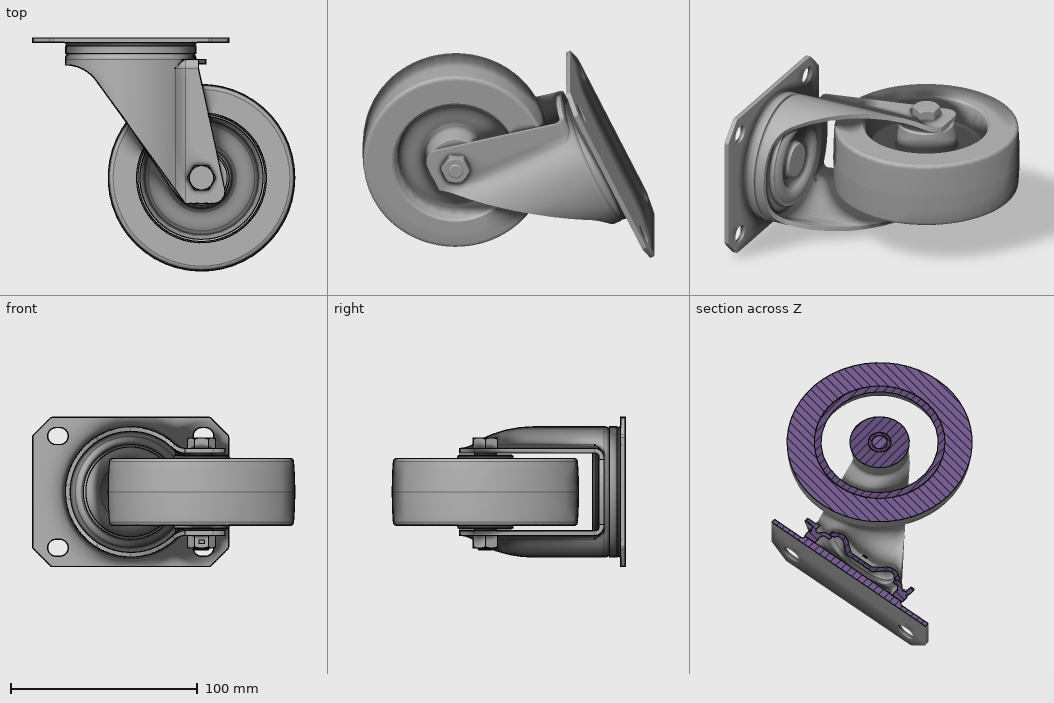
import cadquery as cq
import math


SHEET = 2.5

PLATE_LENGTH = 105.0
PLATE_WIDTH = 80.0
PLATE_CORNER = 10.0
PLATE_CORNER_ROUND = 2.0
SLOT_LENGTH = 11.0
SLOT_WIDTH = 9.0
SLOT_SPACING_X = 77.9
SLOT_SPACING_Z = 59.8
BOSS_RADIUS = 34.5
BOSS_FILLET = 1.3
BOSS_BOTTOM = -4.5

WHEEL_X = 37.9
WHEEL_Y = -75.0
WHEEL_RADIUS = 50.0
TREAD_EDGE_RADIUS = 49.1
WHEEL_HALF_WIDTH = 18.0
TREAD_FILLET = 2.0
TYRE_BORE_RADIUS = 34.8
RIM_RADIUS = 34.1
RIM_CHAMFER = 1.1
BOWL_RADIUS = 30.0
WEB_HALF_WIDTH = 5.0
WEB_FILLET = 2.0
HUB_BASE_RADIUS = 16.7
HUB_TIP_RADIUS = 14.7
HUB_HALF_WIDTH = 19.8
HUB_CHAMFER_WIDTH = 1.0
HUB_CHAMFER_HEIGHT = 0.5

SLEEVE_RADIUS = 5.9
BOLT_RADIUS = 4.0
HEX_WIDTH = 13.0
HEX_CHAMFER_ANGLE = 30
HEAD_HEIGHT = 5.6
NUT_HEIGHT = 6.7
BOLT_TIP = 1.1
BOLT_TIP_CHAMFER = 0.5
NUT_MARK_LENGTH = 3.0
NUT_MARK_WIDTH = 2.0
NUT_MARK_DEPTH = 0.4

FORK_RADIUS = 35.0
LEG_INSIDE = 20.8
LEG_BLEND = 8.0
WALL_TOP = -11.5
COLLAR_INNER_RADIUS = 28.1
COLLAR_BOTTOM = -8.5
FOLD_RADIUS = 1.4
FOLD_ANGLE = math.radians(65)
LIP_RADIUS = 23.6
LEG_TOP_ROUND = 4.9
TONGUE_RADIUS = 40.3
ARCH_TOP = -14.6
ARCH_RADIUS = 20.0
ARCH_CORNER_X = -24.5
LEG_BOTTOM = -88.7
LEG_BOTTOM_LEFT = 29.2
LEG_TOP_RIGHT = 36.4
LEG_SLOPE_TOP = -16.5
LEG_BOTTOM_RIGHT = 52.0
LEG_CORNER_ROUND = 6.3

BEAD_RADIUS = 5.3
BEAD_CENTRE_RADIUS = 20.0
CUP_RADIUS = 25.4
CUP_BOTTOM = -17.7
CUP_FLOOR = -11.5
CUP_FLOOR_RADIUS = 12.1

KINGPIN_RADIUS = 9.0
KINGPIN_HEAD_RADIUS = 10.2
KINGPIN_HEAD_TOP = -13.8
KINGPIN_END = -16.7

LEG_OUTSIDE = LEG_INSIDE + SHEET
WALL_INSIDE = FORK_RADIUS - SHEET
LIP_BOTTOM = WALL_TOP + FOLD_RADIUS - (SHEET + 2 * FOLD_RADIUS) * (1 - math.cos(FOLD_ANGLE))


def rounded_outline(plane, corners):
    """Closed outline through (x, y, radius) corners, each rounded with its own radius."""
    ends = []
    for i, (x, y, radius) in enumerate(corners):
        before = cq.Vector(*corners[i - 1][:2])
        after = cq.Vector(*corners[(i + 1) % len(corners)][:2])
        corner = cq.Vector(x, y)
        if radius == 0:
            ends.append((corner, None, corner))
            continue
        to_before = (before - corner).normalized()
        to_after = (after - corner).normalized()
        half_angle = to_before.getAngle(to_after) / 2
        setback = radius / math.tan(half_angle)
        bisector = (to_before + to_after).normalized()
        middle = corner + bisector * (radius / math.sin(half_angle) - radius)
        ends.append((corner + to_before * setback, middle, corner + to_after * setback))
    outline = plane.moveTo(*ends[0][2].toTuple()[:2])
    for start, middle, end in ends[1:] + ends[:1]:
        outline = outline.lineTo(*start.toTuple()[:2])
        if middle is not None:
            outline = outline.threePointArc(middle.toTuple()[:2], end.toTuple()[:2])
    return outline.close()


def about_swivel(outline):
    """Solid of revolution about the Y axis of an outline drawn as (radius, Y)."""
    return outline.revolve(360, (0, 0, 0), (0, 1, 0))


def swivel_disc(radius, top, bottom):
    return cq.Workplane("XZ", origin=(0, top, 0)).circle(radius).extrude(top - bottom)


def axle_rod(radius, low, high):
    return cq.Workplane("XY", origin=(WHEEL_X, WHEEL_Y, low)).circle(radius).extrude(high - low)


def make_plate():
    plate = (
        cq.Workplane("XZ")
        .rect(PLATE_LENGTH, PLATE_WIDTH)
        .extrude(SHEET)
        .edges("|Y").chamfer(PLATE_CORNER)
        .edges("|Y").fillet(PLATE_CORNER_ROUND)
    )
    slots = (
        cq.Workplane("XZ")
        .rect(SLOT_SPACING_X, SLOT_SPACING_Z, forConstruction=True)
        .vertices()
        .slot2D(SLOT_LENGTH, SLOT_WIDTH)
        .extrude(SHEET)
    )
    arc_drop = BOSS_FILLET * (1 - math.sqrt(0.5))
    boss = about_swivel(
        cq.Workplane("XY")
        .moveTo(0, -SHEET)
        .lineTo(BOSS_RADIUS + BOSS_FILLET, -SHEET)
        .threePointArc((BOSS_RADIUS + arc_drop, -SHEET - arc_drop), (BOSS_RADIUS, -SHEET - BOSS_FILLET))
        .lineTo(BOSS_RADIUS, BOSS_BOTTOM)
        .lineTo(0, BOSS_BOTTOM)
        .close()
    )
    kingpin = about_swivel(
        cq.Workplane("XY").polyline([
            (0, BOSS_BOTTOM),
            (KINGPIN_RADIUS, BOSS_BOTTOM),
            (KINGPIN_RADIUS, KINGPIN_HEAD_TOP),
            (KINGPIN_HEAD_RADIUS, KINGPIN_HEAD_TOP),
            (KINGPIN_RADIUS, KINGPIN_END),
            (0, KINGPIN_END),
        ]).close()
    )
    return plate.cut(slots).union(boss).union(kingpin)


def make_crown():
    """Collar, and the sheet folded inwards from the round wall to the lip."""
    collar = swivel_disc(FORK_RADIUS, BOSS_BOTTOM, COLLAR_BOTTOM)
    collar = collar.cut(swivel_disc(COLLAR_INNER_RADIUS, BOSS_BOTTOM, COLLAR_BOTTOM))
    bend = FOLD_RADIUS + SHEET
    valley_radius = WALL_INSIDE - FOLD_RADIUS
    lip_bend_radius = valley_radius - (bend + FOLD_RADIUS) * math.sin(FOLD_ANGLE)
    lip_bend_y = WALL_TOP + (bend + FOLD_RADIUS) * math.cos(FOLD_ANGLE)

    def on_valley(radius, angle):
        return valley_radius - radius * math.sin(angle), WALL_TOP + radius * math.cos(angle)

    def on_lip_bend(radius, angle):
        return lip_bend_radius + radius * math.sin(angle), lip_bend_y - radius * math.cos(angle)

    sheet = about_swivel(
        cq.Workplane("XY")
        .moveTo(FORK_RADIUS, ARCH_TOP)
        .lineTo(FORK_RADIUS, WALL_TOP)
        .threePointArc(on_valley(bend, 0), on_valley(bend, FOLD_ANGLE))
        .threePointArc(on_lip_bend(FOLD_RADIUS, FOLD_ANGLE / 2), on_lip_bend(FOLD_RADIUS, 0))
        .lineTo(LIP_RADIUS, LIP_BOTTOM + SHEET)
        .lineTo(LIP_RADIUS, LIP_BOTTOM)
        .lineTo(*on_lip_bend(bend, 0))
        .threePointArc(on_lip_bend(bend, FOLD_ANGLE / 2), on_lip_bend(bend, FOLD_ANGLE))
        .threePointArc(on_valley(FOLD_RADIUS, 0), (WALL_INSIDE, WALL_TOP))
        .lineTo(WALL_INSIDE, ARCH_TOP)
        .close()
    )
    return collar.union(sheet)


def leg_block(half_width, wall_radius, blend, top, top_round):
    """Block as wide as the legs, blended into the round wall and rounded along its top edges."""
    reach = wall_radius + blend
    centre = cq.Vector(math.sqrt(reach**2 - (half_width + blend) ** 2), half_width + blend)
    start = centre * (wall_radius / reach)
    end = cq.Vector(centre.x, half_width)
    middle = centre + ((start + end) * 0.5 - centre).normalized() * blend
    block = (
        cq.Workplane("XZ", origin=(0, top, 0))
        .moveTo(start.x, start.y)
        .threePointArc((middle.x, middle.y), (end.x, end.y))
        .lineTo(LEG_BOTTOM_RIGHT, half_width)
        .lineTo(LEG_BOTTOM_RIGHT, -half_width)
        .lineTo(end.x, -half_width)
        .threePointArc((middle.x, -middle.y), (start.x, -start.y))
        .close()
        .extrude(top - LEG_BOTTOM)
    )
    return block.faces(">Y").edges("not |Z").fillet(top_round)


def fork_side_profile():
    """Side shape of wall and legs, as a block across the whole width."""
    corners = [
        (-FORK_RADIUS - 1.4, ARCH_TOP, 0),
        (ARCH_CORNER_X, ARCH_TOP, ARCH_RADIUS),
        (LEG_BOTTOM_LEFT, LEG_BOTTOM, 0),
        (LEG_BOTTOM_RIGHT, LEG_BOTTOM, LEG_CORNER_ROUND),
        (LEG_TOP_RIGHT, LEG_SLOPE_TOP, 0),
        (LEG_TOP_RIGHT, WALL_TOP, 0),
        (-FORK_RADIUS - 1.4, WALL_TOP, 0),
    ]
    return rounded_outline(cq.Workplane("XY"), corners).extrude(FORK_RADIUS, both=True)


def make_sides():
    """Round wall, blends and legs: the fork's upright outer faces, thickened inwards by the sheet."""
    outside = (
        leg_block(LEG_OUTSIDE, FORK_RADIUS, LEG_BLEND, WALL_TOP, LEG_TOP_ROUND)
        .union(swivel_disc(FORK_RADIUS, WALL_TOP, LEG_BOTTOM))
        .intersect(fork_side_profile())
    )
    sides = cq.Workplane("XY")
    for face in outside.faces().vals():
        normal = face.normalAt()
        upright = abs(normal.y) < 0.001
        faces_forward = normal.x > 0.99
        if upright and not faces_forward:
            sides = sides.add(face.thicken(-SHEET))
    return sides.combine()


def make_shoulder():
    """Tongue between the tops of the legs, and the bends that join it to them."""
    tongue_bottom = WALL_TOP - SHEET
    shoulder = leg_block(LEG_OUTSIDE, FORK_RADIUS, LEG_BLEND, WALL_TOP, LEG_TOP_ROUND)
    shoulder = shoulder.cut(
        leg_block(LEG_INSIDE, WALL_INSIDE, LEG_BLEND + SHEET, tongue_bottom, LEG_TOP_ROUND - SHEET)
    )
    shoulder = shoulder.cut(swivel_disc(WALL_INSIDE, WALL_TOP, tongue_bottom))
    tongue = shoulder.intersect(swivel_disc(TONGUE_RADIUS, WALL_TOP, tongue_bottom))
    bends = cq.Workplane("XY").box(LEG_TOP_RIGHT, LEG_TOP_ROUND, 2 * FORK_RADIUS, centered=(False, False, True))
    bends = shoulder.intersect(bends.translate((0, WALL_TOP - LEG_TOP_ROUND, 0)))
    return tongue.union(bends)


def make_fork():
    fork = make_crown().union(make_shoulder()).union(make_sides())
    return fork.cut(axle_rod(BOLT_RADIUS, -LEG_OUTSIDE, LEG_OUTSIDE)).clean()


def make_cup():
    """Sheet cup under the fork's lip: a flat flange, a rounded bead and a funnel around the kingpin."""
    slant = math.sqrt(0.5)
    bead_y = CUP_BOTTOM + BEAD_RADIUS
    inner_radius = BEAD_RADIUS - SHEET
    flange_bottom = LIP_BOTTOM - SHEET
    bead_edge = BEAD_CENTRE_RADIUS + math.sqrt(BEAD_RADIUS**2 - (bead_y - flange_bottom) ** 2)
    bead_inner_edge = BEAD_CENTRE_RADIUS + math.sqrt(inner_radius**2 - (bead_y - LIP_BOTTOM) ** 2)
    floor_shift = SHEET * math.tan(math.pi / 8)
    return about_swivel(
        cq.Workplane("XY")
        .moveTo(KINGPIN_RADIUS, CUP_FLOOR)
        .lineTo(CUP_FLOOR_RADIUS, CUP_FLOOR)
        .lineTo(BEAD_CENTRE_RADIUS - BEAD_RADIUS * slant, bead_y - BEAD_RADIUS * slant)
        .threePointArc((BEAD_CENTRE_RADIUS, CUP_BOTTOM), (bead_edge, flange_bottom))
        .lineTo(CUP_RADIUS, flange_bottom)
        .lineTo(CUP_RADIUS, LIP_BOTTOM)
        .lineTo(bead_inner_edge, LIP_BOTTOM)
        .threePointArc(
            (BEAD_CENTRE_RADIUS, bead_y - inner_radius),
            (BEAD_CENTRE_RADIUS - inner_radius * slant, bead_y - inner_radius * slant),
        )
        .lineTo(CUP_FLOOR_RADIUS + floor_shift, CUP_FLOOR + SHEET)
        .lineTo(KINGPIN_RADIUS, CUP_FLOOR + SHEET)
        .close()
    )


def wheel_plane():
    return cq.Workplane("XZ", origin=(WHEEL_X, WHEEL_Y, 0))


def make_tyre():
    """Tyre with a crowned tread, made as two equal halves joined at the crown."""
    drop = WHEEL_RADIUS - TREAD_EDGE_RADIUS
    half = (
        wheel_plane()
        .moveTo(TYRE_BORE_RADIUS, 0)
        .lineTo(WHEEL_RADIUS, 0)
        .threePointArc((WHEEL_RADIUS - drop / 4, WHEEL_HALF_WIDTH / 2), (TREAD_EDGE_RADIUS, WHEEL_HALF_WIDTH))
        .lineTo(TYRE_BORE_RADIUS, WHEEL_HALF_WIDTH)
        .close()
        .revolve(360, (0, 0, 0), (0, 1, 0))
        .faces(">Z").edges(cq.selectors.RadiusNthSelector(-1)).fillet(TREAD_FILLET)
    )
    return half.union(half.mirror("XY"), clean=False)


def make_core():
    corners = [
        (SLEEVE_RADIUS, 0, 0),
        (TYRE_BORE_RADIUS, 0, 0),
        (TYRE_BORE_RADIUS, WHEEL_HALF_WIDTH, 0),
        (RIM_RADIUS, WHEEL_HALF_WIDTH, 0),
        (RIM_RADIUS - RIM_CHAMFER, WHEEL_HALF_WIDTH - RIM_CHAMFER, 0),
        (BOWL_RADIUS, WEB_HALF_WIDTH, WEB_FILLET),
        (HUB_BASE_RADIUS, WEB_HALF_WIDTH, WEB_FILLET),
        (HUB_TIP_RADIUS, HUB_HALF_WIDTH - HUB_CHAMFER_HEIGHT, 0),
        (HUB_TIP_RADIUS - HUB_CHAMFER_WIDTH, HUB_HALF_WIDTH, 0),
        (SLEEVE_RADIUS, HUB_HALF_WIDTH, 0),
    ]
    half = rounded_outline(wheel_plane(), corners).revolve(360, (0, 0, 0), (0, 1, 0))
    return half.union(half.mirror("XY"))


def make_sleeve():
    sleeve = axle_rod(SLEEVE_RADIUS, -LEG_INSIDE, LEG_INSIDE)
    return sleeve.cut(axle_rod(BOLT_RADIUS, -LEG_INSIDE, LEG_INSIDE))


def make_hex(height):
    """Hexagon standing on a leg's outer face, its corners bevelled at the free end."""
    corner_radius = HEX_WIDTH / 2 / math.cos(math.pi / 6)
    bevel_width = corner_radius - HEX_WIDTH / 2
    prism = (
        cq.Workplane("XY", origin=(WHEEL_X, WHEEL_Y, LEG_OUTSIDE))
        .polygon(6, 2 * corner_radius)
        .extrude(height)
    )
    bevel = (
        axle_rod(corner_radius, LEG_OUTSIDE, LEG_OUTSIDE + height)
        .faces(">Z")
        .chamfer(bevel_width * math.tan(math.radians(HEX_CHAMFER_ANGLE)), bevel_width)
    )
    return prism.intersect(bevel)


def make_bolt():
    end = -LEG_OUTSIDE - NUT_HEIGHT - BOLT_TIP
    shank = axle_rod(BOLT_RADIUS, end, LEG_OUTSIDE).faces("<Z").chamfer(BOLT_TIP_CHAMFER)
    return make_hex(HEAD_HEIGHT).union(shank)


def make_nut():
    nut = make_hex(NUT_HEIGHT).mirror("XY")
    nut = nut.cut(axle_rod(BOLT_RADIUS, -LEG_OUTSIDE - NUT_HEIGHT, -LEG_OUTSIDE))
    mark = cq.Workplane("XY").box(NUT_MARK_LENGTH, 2 * NUT_MARK_DEPTH, NUT_MARK_WIDTH)
    mark_place = (WHEEL_X, WHEEL_Y - HEX_WIDTH / 2, -LEG_OUTSIDE - NUT_HEIGHT / 2)
    return nut.cut(mark.translate(mark_place))


result = cq.Compound.makeCompound([
    make_plate().val(),
    make_fork().val(),
    make_cup().val(),
    make_tyre().val(),
    make_core().val(),
    make_sleeve().val(),
    make_bolt().val(),
    make_nut().val(),
])